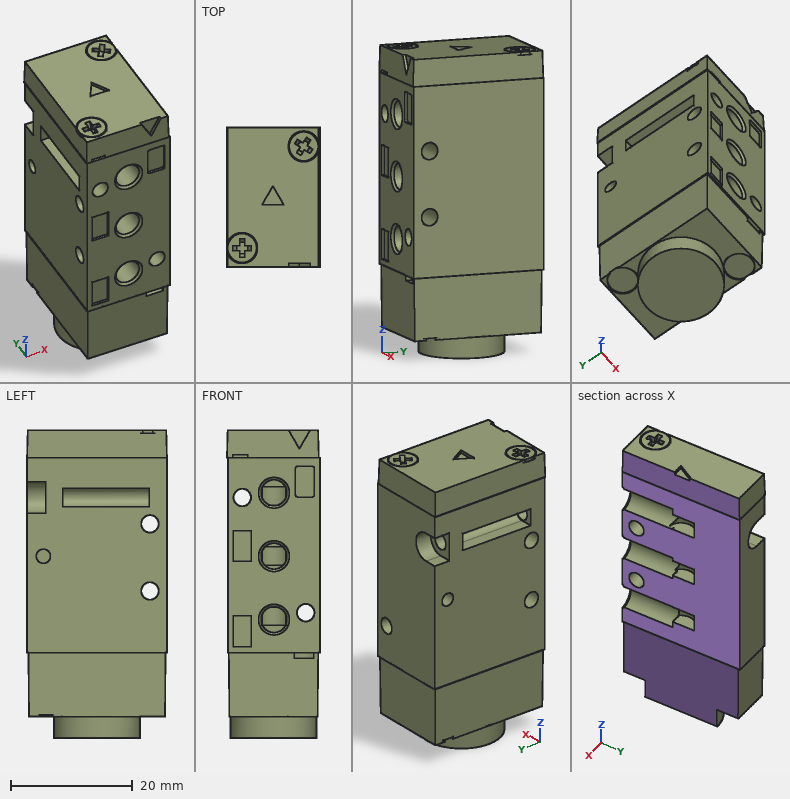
import cadquery as cq
import math

boss_height = 3.55
base_height = 10.5
body_height = 31.95
total_height = 50.5
base_bottom = boss_height
body_bottom = base_bottom + base_height
body_top = body_bottom + body_height
cap_height = total_height - body_top
body_middle = (body_bottom + body_top) / 2

body_width = 15.15
body_depth = 23.0
side_offset = 0.075
body_front = -body_depth / 2
body_back = body_depth / 2
body_left = side_offset - body_width / 2

port_middle = 29.85
port_spacing = 10.4
port_radius = 2.1
port_mouth_radius = 2.5
port_chamfer = port_mouth_radius - port_radius
port_floor_y = -1.6
chamber_spacing = 9.85
chamber_radius = 2.5
chamber_height = 3.05

mount_hole_radius = 1.4
front_hole_x = 5.2
front_hole_z = 9.45
side_hole_y = -8.7
side_hole_middle = 29.65
side_hole_z = 5.5

slot_height = 3.1
slot_front = -8.55
slot_back = 5.6
counterbore_radius = 2.6
counterbore_depth = 3.1

pin_hole_radius = 1.15
pin_hole_depth = 3.05
pin_hole_y = 8.8

label_height = 5.05
label_width = 3.0
label_depth = 0.45
label_x = -5.1
supply_label_z = 31.5
lower_label_z = 17.5
upper_label_x = 5.15
upper_label_z = 42.05
upper_label_width = 3.15
upper_label_corner = 0.4

cap_width = 15.1
cap_offset = 0.1
cap_draft = 1.5
arrow_width = 3.55
arrow_length = 3.05
arrow_depth = 0.5
top_arrow_tip_y = 1.8
front_arrow_x = 4.25
cap_notch_x = -5.45
cap_notch_width = 2.4
cap_notch_height = 0.45
cap_notch_depth = 0.5

screw_x = 5.05
screw_y = 8.35
seat_radius = 2.5
seat_depth = 0.5
head_radius = 2.35
shank_radius = 1.5
cross_length = 3.0
cross_floor_length = 1.8
cross_width = 0.8
cross_depth = 1.0
upper_screw_turn = 57.0

base_width = 14.7
base_depth = 22.5
base_draft = 0.5
boss_radius = 7.05
base_seat_x = 4.85
base_seat_depth = 0.35
base_notch_x = 5.0
base_notch_half_width = 1.55
base_notch_height = 0.95
base_notch_side_depth = 1.0
base_notch_depth = 1.5


def rod_along_y(x, z, radius, y_start, y_end):
    """Cylinder parallel to Y."""
    return cq.Workplane("XZ", origin=(x, y_start, z)).circle(radius).extrude(y_start - y_end)


def rod_along_x(y, z, radius, x_start, x_end):
    """Cylinder parallel to X."""
    return cq.Workplane("YZ", origin=(x_start, y, z)).circle(radius).extrude(x_end - x_start)


def rod_along_z(x, y, radius, z_start, z_end):
    """Cylinder parallel to Z."""
    return cq.Workplane("XY", origin=(x, y, z_start)).circle(radius).extrude(z_end - z_start)


def block(x_range, y_range, z_range):
    """Box given by its limits along X, Y and Z."""
    sizes = [end - start for start, end in (x_range, y_range, z_range)]
    corner = (x_range[0], y_range[0], z_range[0])
    return cq.Workplane("XY", origin=corner).box(*sizes, centered=False)


def left_channel(x, z, radius, y_start, y_end):
    """Round-bottomed channel that opens through the left face of the body."""
    bottom = rod_along_y(x, z, radius, y_start, y_end)
    opening = block((body_left, x), (y_start, y_end), (z - radius, z + radius))
    return bottom.union(opening)


def port(z):
    """Blind port with a conical mouth."""
    hole = rod_along_y(side_offset, z, port_radius, body_front, port_floor_y)
    mouth = cq.Solid.makeCone(
        port_mouth_radius, port_radius, port_chamfer,
        cq.Vector(side_offset, body_front, z), cq.Vector(0, 1, 0),
    )
    return hole.union(cq.Workplane(mouth))


def label_pocket(x, z, width):
    """Shallow rectangular pocket in the front face."""
    return block(
        (x - width / 2, x + width / 2),
        (body_front, body_front + label_depth),
        (z - label_height / 2, z + label_height / 2),
    )


def make_body():
    body = block(
        (body_left, body_left + body_width), (body_front, body_back), (body_bottom, body_top)
    )

    for step in (-1, 0, 1):
        body = body.cut(port(port_middle + step * port_spacing))
        chamber_bottom = port_middle + step * chamber_spacing - chamber_height / 2
        body = body.cut(
            rod_along_z(side_offset, 0, chamber_radius, chamber_bottom, chamber_bottom + chamber_height)
        )

    for side in (-1, 1):
        x = side_offset + side * front_hole_x
        z = body_middle - side * front_hole_z
        body = body.cut(rod_along_y(x, z, mount_hole_radius, body_front, body_back))
        z = side_hole_middle + side * side_hole_z
        body = body.cut(
            rod_along_x(side_hole_y, z, mount_hole_radius, body_left, body_left + body_width)
        )

    channel_x = side_offset - front_hole_x
    channel_z = body_middle + front_hole_z
    body = body.cut(left_channel(channel_x, channel_z, slot_height / 2, slot_front, slot_back))
    body = body.cut(
        left_channel(channel_x, channel_z, counterbore_radius, body_back - counterbore_depth, body_back)
    )

    body = body.cut(
        rod_along_x(pin_hole_y, port_middle, pin_hole_radius, body_left, body_left + pin_hole_depth)
    )

    body = body.cut(label_pocket(label_x, supply_label_z, label_width))
    body = body.cut(label_pocket(label_x, lower_label_z, label_width))
    upper_label = label_pocket(upper_label_x, upper_label_z, upper_label_width)
    return body.cut(upper_label.edges("|Y").fillet(upper_label_corner))


def screw_place(side):
    """Axis of a cap screw: side is -1 at the left front corner, 1 at the right back corner."""
    return side * screw_x - cap_offset, side * screw_y


def make_cap():
    cap = (
        cq.Workplane("XY", origin=(-cap_offset, 0, body_top))
        .rect(cap_width, body_depth)
        .extrude(cap_height, taper=cap_draft)
    )

    for side in (-1, 1):
        x, y = screw_place(side)
        cap = cap.cut(rod_along_z(x, y, seat_radius, total_height - seat_depth, total_height))
        cap = cap.cut(rod_along_z(x, y, shank_radius, body_top, total_height))

    half_arrow = arrow_width / 2
    top_arrow = (
        cq.Workplane("XY", origin=(-cap_offset, top_arrow_tip_y, total_height))
        .polyline([(0, 0), (-half_arrow, -arrow_length), (half_arrow, -arrow_length)])
        .close()
        .extrude(-arrow_depth)
    )
    top_front = body_front + cap_height * math.tan(math.radians(cap_draft))
    front_arrow = (
        cq.Workplane("XZ", origin=(front_arrow_x, top_front + arrow_depth, total_height))
        .polyline([(0, -arrow_length), (-half_arrow, 0), (half_arrow, 0)])
        .close()
        .extrude(2 * arrow_depth)
    )
    notch = block(
        (cap_notch_x - cap_notch_width / 2, cap_notch_x + cap_notch_width / 2),
        (body_front, body_front + cap_notch_depth),
        (body_top, body_top + cap_notch_height),
    )
    return cap.cut(top_arrow).cut(front_arrow).cut(notch)


def cross_recess():
    """Cross-shaped driver recess, its arms sloping inwards, with its top at the origin."""
    half_length = cross_length / 2
    half_floor = cross_floor_length / 2
    arm = (
        cq.Workplane("XZ", origin=(0, cross_width / 2, 0))
        .polyline(
            [
                (-half_length, 0),
                (half_length, 0),
                (half_floor, -cross_depth),
                (-half_floor, -cross_depth),
            ]
        )
        .close()
        .extrude(cross_width)
    )
    return arm.union(arm.rotate((0, 0, 0), (0, 0, 1), 90))


def make_screw(side, turn):
    x, y = screw_place(side)
    head = rod_along_z(x, y, head_radius, total_height - seat_depth, total_height)
    shank = rod_along_z(x, y, shank_radius, body_top, total_height)
    recess = cross_recess().rotate((0, 0, 0), (0, 0, 1), turn).translate((x, y, total_height))
    return head.union(shank).cut(recess)


def make_base():
    base = (
        cq.Workplane("XY", origin=(0, 0, body_bottom))
        .rect(base_width, base_depth)
        .extrude(-base_height, taper=base_draft)
    )

    for side in (-1, 1):
        base = base.cut(
            rod_along_z(
                side * base_seat_x, -side * screw_y, seat_radius, base_bottom, base_bottom + base_seat_depth
            )
        )

    notch = (
        cq.Workplane("XY", origin=(base_notch_x, -base_depth / 2, body_bottom))
        .moveTo(-base_notch_half_width, 0)
        .lineTo(-base_notch_half_width, base_notch_side_depth)
        .threePointArc((0, base_notch_depth), (base_notch_half_width, base_notch_side_depth))
        .lineTo(base_notch_half_width, 0)
        .close()
        .extrude(-base_notch_height)
    )
    base = base.cut(notch)
    return base.union(rod_along_z(0, 0, boss_radius, 0, base_bottom))


body = make_body()
cap = make_cap()
base = make_base()
screws = [make_screw(side, turn) for side, turn in ((-1, 0), (1, upper_screw_turn))]

result = cq.Compound.makeCompound(
    [body.val(), cap.val(), base.val(), *[screw.val() for screw in screws]]
)